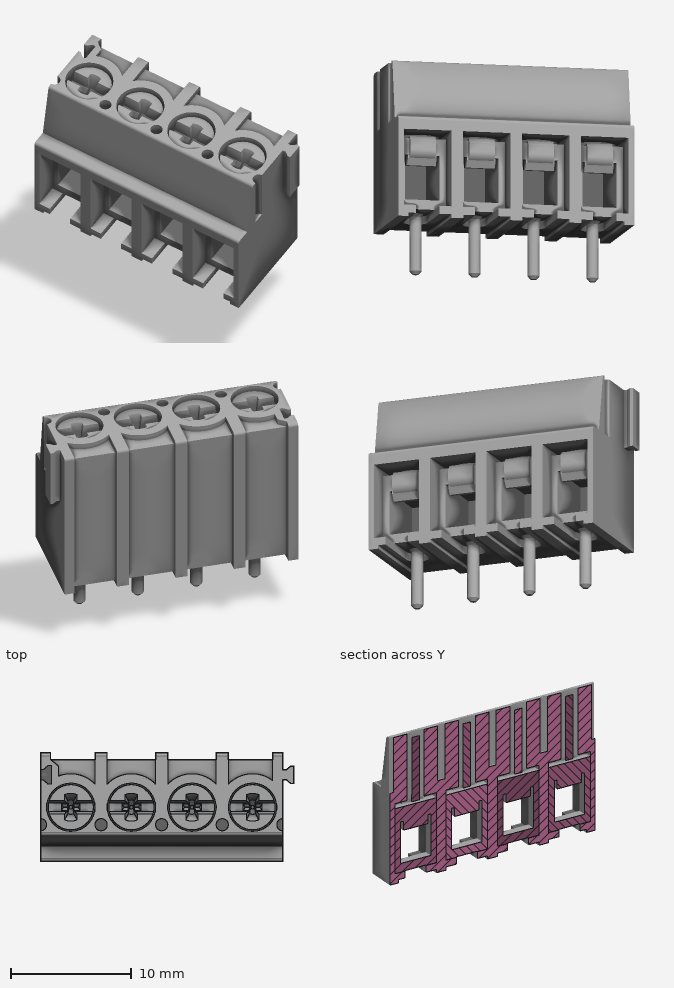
import cadquery as cq
import math

POLES = 4
OVERALL_LENGTH = 20.95
LENGTH = 20.02
DEPTH = 9.0
HEIGHT = 13.42
PITCH = LENGTH / POLES
POLE_Y = DEPTH / 2
POLE_CENTRES = [PITCH * (pole + 0.5) for pole in range(POLES)]
POLE_BORDERS = [PITCH * border for border in range(POLES + 1)]

LEDGE_Z = 8.42
LEDGE_DEPTH = 1.3
SLOPE_ANGLE = 10.0
EDGE_RADIUS = 0.27

RIB_WIDTH = 1.0
END_RIB_WIDTH = 0.84
RECESS_SETBACK = 0.57
RECESS_DEPTH = 0.5
COLLAR_RADIUS = 2.76
GROOVE_WALL_X = 1.49
GROOVE_WALL_Y = 7.9

DOVETAIL_Y = 7.18
DOVETAIL_NECK_WIDTH = 0.84
TAB_NECK_LENGTH = 0.3
TAB_FLARE_END = 0.65
TAB_WIDTH = 1.45
TAB_LENGTH = OVERALL_LENGTH - LENGTH
GROOVE_NECK_LENGTH = 0.23
GROOVE_FLARE_END = 0.63
GROOVE_WIDTH = 1.55
GROOVE_DEPTH = 0.92

SCREW_HOLE_RADIUS = 1.99
TEST_HOLE_RADIUS = 0.5
TEST_HOLE_Y = 3.05
CHAMBER_WIDTH = 4.02
CHAMBER_FLOOR_Z = 0.96
CHAMBER_TOP_Z = 7.3
CHAMBER_BACK_Y = 7.0
PIN_SLOT_WIDTH = 1.99
FOOT_HEIGHT = 0.3
FOOT_WIDTH = 1.0
END_FOOT_WIDTH = 0.85

BLOCK_FRONT_Y = 1.99
BLOCK_TOP_Z = 6.89
WIRE_OPENING_WIDTH = 2.91
WIRE_OPENING_BOTTOM_Z = 1.75
WIRE_OPENING_TOP_Z = 5.5
GUARD_WIDTH = 2.18
GUARD_FLAP_WIDTH = 2.43
GUARD_TOP_Z = 7.08
GUARD_BEVEL_Z = 6.7
GUARD_BEND_TOP_Z = 5.9
GUARD_BEND_BOTTOM_Z = 5.28
GUARD_TIP_Z = 4.7
GUARD_BEND_ANGLE = 60.0
GUARD_PROJECTION = 0.34
GUARD_FLAP_LEAN = 0.34
GUARD_THICKNESS = 0.34
PIN_RADIUS = 0.5
PIN_LENGTH = 4.08
PIN_TIP_RADIUS = 0.25
PIN_TIP_HEIGHT = 0.27
PIN_COLLAR_RADIUS = 0.67
PIN_COLLAR_HEIGHT = 0.25

HEAD_RADIUS = 1.86
HEAD_TOP_Z = 12.98
HEAD_BOTTOM_Z = 7.08
NECK_RADIUS = 1.78
SHANK_RADIUS = 1.05
SLOT_TOP_WIDTH = 1.09
SLOT_FLOOR_WIDTH = 0.67
SLOT_DEPTH = 1.0
CROSS_RADIUS = 1.15
CROSS_STEP_RADIUS = 0.59
CROSS_STEP_DEPTH = 1.21
CROSS_TIP_RADIUS = 0.15
CROSS_DEPTH = 1.55
CROSS_TOP_WIDTH = 1.03
CROSS_TIP_WIDTH = 0.34
SIDE_WING_TOP_WIDTH = 0.55
SIDE_WING_FLOOR_WIDTH = 0.05
SIDE_WING_TOP_SPAN = 1.55
SIDE_WING_FLOOR_SPAN = 1.25
SIDE_WING_DEPTH = 0.17


def box(x_range, y_range, z_range):
    """Box spanning the given (low, high) ranges."""
    (x0, x1), (y0, y1), (z0, z1) = x_range, y_range, z_range
    return cq.Workplane("XY").box(x1 - x0, y1 - y0, z1 - z0, centered=False).translate((x0, y0, z0))


def centred(middle, width):
    """(low, high) range of a width about its middle."""
    return (middle - width / 2, middle + width / 2)


def cylinder(x, y, radius, z_bottom, z_top):
    """Upright cylinder between two heights."""
    return cq.Workplane("XY", origin=(x, y, z_bottom)).circle(radius).extrude(z_top - z_bottom)


def housing_blank():
    """Stepped side profile run along the whole row, with rounded long edges."""
    slope_top_y = LEDGE_DEPTH + (HEIGHT - LEDGE_Z) * math.tan(math.radians(SLOPE_ANGLE))
    profile = [
        (0, 0),
        (DEPTH, 0),
        (DEPTH, HEIGHT),
        (slope_top_y, HEIGHT),
        (LEDGE_DEPTH, LEDGE_Z),
        (0, LEDGE_Z),
    ]
    blank = cq.Workplane("YZ").polyline(profile).close().extrude(LENGTH)
    for y, z in [(DEPTH, HEIGHT), (slope_top_y, HEIGHT), (0, LEDGE_Z)]:
        edge = cq.selectors.NearestToPointSelector((LENGTH / 2, y, z))
        blank = blank.edges("|X").edges(edge).fillet(EDGE_RADIUS)
    return blank


def dovetail(x_face, neck_length, flare_end, end, width):
    """Dovetail prism that starts at a face and widens towards +X."""
    half_neck = DOVETAIL_NECK_WIDTH / 2
    upper = [(0, half_neck), (neck_length, half_neck), (flare_end, width / 2), (end, width / 2)]
    lower = [(x, -y) for x, y in reversed(upper)]
    plane = cq.Workplane("XY", origin=(x_face, DOVETAIL_Y, LEDGE_Z))
    return plane.polyline(upper + lower).close().extrude(HEIGHT - LEDGE_Z)


def back_setback(x_range):
    """Full-height cut that leaves the ribs standing proud of the back wall."""
    return box(x_range, (DEPTH - RECESS_SETBACK, DEPTH), (0, HEIGHT))


def top_recess(pole_x, x_range):
    """Shallow cut between two ribs that stops at the rim of the screw hole."""
    z_range = (HEIGHT - RECESS_DEPTH, HEIGHT)
    pocket = box(x_range, (POLE_Y, DEPTH), z_range)
    return pocket.cut(cylinder(pole_x, POLE_Y, COLLAR_RADIUS, *z_range))


def groove_wall():
    """Part of the first recess left standing around the dovetail groove."""
    back_y = DEPTH - RECESS_SETBACK
    outline = [
        (END_RIB_WIDTH, POLE_Y),
        (GROOVE_WALL_X, POLE_Y),
        (GROOVE_WALL_X, GROOVE_WALL_Y),
        (END_RIB_WIDTH, back_y),
    ]
    plane = cq.Workplane("XY", origin=(0, 0, HEIGHT - RECESS_DEPTH))
    return plane.polyline(outline).close().extrude(RECESS_DEPTH)


def gap_between(pole, width, end_width):
    """X range left free between the ribs or feet on both sides of one pole."""
    start = end_width if pole == 0 else POLE_BORDERS[pole] + width / 2
    last = pole == POLES - 1
    stop = LENGTH - end_width if last else POLE_BORDERS[pole + 1] - width / 2
    return (start, stop)


def pin_slot(pole_x):
    """Round-ended slot through the chamber floor, open at the front."""
    floor = (0, CHAMBER_FLOOR_Z)
    slot = box(centred(pole_x, PIN_SLOT_WIDTH), (0, POLE_Y), floor)
    return slot.union(cylinder(pole_x, POLE_Y, PIN_SLOT_WIDTH / 2, *floor))


def make_housing():
    body = housing_blank()
    for pole, pole_x in enumerate(POLE_CENTRES):
        rib_gap = gap_between(pole, RIB_WIDTH, END_RIB_WIDTH)
        recess = top_recess(pole_x, rib_gap)
        if pole == 0:
            recess = recess.cut(groove_wall())
        body = body.cut(recess).cut(back_setback(rib_gap))
        body = body.cut(cylinder(pole_x, POLE_Y, SCREW_HOLE_RADIUS, CHAMBER_TOP_Z, HEIGHT))
        chamber_x = centred(pole_x, CHAMBER_WIDTH)
        body = body.cut(box(chamber_x, (0, CHAMBER_BACK_Y), (CHAMBER_FLOOR_Z, CHAMBER_TOP_Z)))
        body = body.cut(pin_slot(pole_x))
        body = body.cut(box(gap_between(pole, FOOT_WIDTH, END_FOOT_WIDTH), (0, DEPTH), (0, FOOT_HEIGHT)))
    for border_x in POLE_BORDERS:
        body = body.cut(cylinder(border_x, TEST_HOLE_Y, TEST_HOLE_RADIUS, LEDGE_Z, HEIGHT))
    body = body.cut(dovetail(0, GROOVE_NECK_LENGTH, GROOVE_FLARE_END, GROOVE_DEPTH, GROOVE_WIDTH))
    return body.union(dovetail(LENGTH, TAB_NECK_LENGTH, TAB_FLARE_END, TAB_LENGTH, TAB_WIDTH))


def wire_guard(pole_x):
    """Bent strip on the block front whose lower flap leans back into the wire opening."""
    front_y = BLOCK_FRONT_Y - GUARD_PROJECTION
    back_y = BLOCK_FRONT_Y + GUARD_THICKNESS
    bend_angle = math.radians(GUARD_BEND_ANGLE)
    bend_radius = (GUARD_BEND_TOP_Z - GUARD_BEND_BOTTOM_Z) / math.sin(bend_angle)

    def bend_point(angle):
        y = front_y + bend_radius * (1 - math.cos(angle))
        return (y, GUARD_BEND_TOP_Z - bend_radius * math.sin(angle))

    bend_end = bend_point(bend_angle)
    tip_y = bend_end[0] + GUARD_FLAP_LEAN
    strip = (
        cq.Workplane("YZ", origin=(pole_x - GUARD_WIDTH / 2, 0, 0))
        .moveTo(back_y, GUARD_TOP_Z)
        .lineTo(BLOCK_FRONT_Y, GUARD_TOP_Z)
        .lineTo(front_y, GUARD_BEVEL_Z)
        .lineTo(front_y, GUARD_BEND_TOP_Z)
        .threePointArc(bend_point(bend_angle / 2), bend_end)
        .lineTo(back_y, GUARD_BEND_BOTTOM_Z)
        .close()
        .extrude(GUARD_WIDTH)
    )
    flap_outline = [
        bend_end,
        (tip_y, GUARD_TIP_Z),
        (tip_y + GUARD_THICKNESS, GUARD_TIP_Z),
        (tip_y + GUARD_THICKNESS, WIRE_OPENING_TOP_Z),
        (bend_end[0], WIRE_OPENING_TOP_Z),
    ]
    flap_plane = cq.Workplane("YZ", origin=(pole_x - GUARD_FLAP_WIDTH / 2, 0, 0))
    flap = flap_plane.polyline(flap_outline).close().extrude(GUARD_FLAP_WIDTH)
    return strip.union(flap)


def solder_pin(pole_x):
    """Round pin with a small collar under the block and a tapered tip."""
    profile = [
        (0, -PIN_LENGTH),
        (PIN_TIP_RADIUS, -PIN_LENGTH),
        (PIN_RADIUS, -PIN_LENGTH + PIN_TIP_HEIGHT),
        (PIN_RADIUS, CHAMBER_FLOOR_Z - PIN_COLLAR_HEIGHT),
        (PIN_COLLAR_RADIUS, CHAMBER_FLOOR_Z),
        (0, CHAMBER_FLOOR_Z),
    ]
    pin = cq.Workplane("XZ").polyline(profile).close().revolve(360, (0, 0), (0, 1))
    return pin.translate((pole_x, POLE_Y, 0))


def make_terminal(pole_x):
    block_y = (BLOCK_FRONT_Y, CHAMBER_BACK_Y)
    block = box(centred(pole_x, CHAMBER_WIDTH), block_y, (CHAMBER_FLOOR_Z, BLOCK_TOP_Z))
    opening_z = (WIRE_OPENING_BOTTOM_Z, WIRE_OPENING_TOP_Z)
    block = block.cut(box(centred(pole_x, WIRE_OPENING_WIDTH), block_y, opening_z))
    block = block.cut(cylinder(pole_x, POLE_Y, SHANK_RADIUS, WIRE_OPENING_TOP_Z, BLOCK_TOP_Z))
    return block.union(wire_guard(pole_x)).union(solder_pin(pole_x))


def tapered_groove(top_width, floor_width, depth, length):
    """Groove along X below z = 0 that narrows towards its floor."""
    outline = [
        (-top_width / 2, 0),
        (top_width / 2, 0),
        (floor_width / 2, -depth),
        (-floor_width / 2, -depth),
    ]
    return cq.Workplane("YZ", origin=(-length / 2, 0, 0)).polyline(outline).close().extrude(length)


def turned(shape):
    """Quarter turn about the vertical axis, from along X to along Y."""
    return shape.rotate((0, 0, 0), (0, 0, 1), 90)


def cross_recess():
    """Cross-head recess with its mouth at z = 0: two wings across the slot, two in its floor."""
    cone_profile = [
        (0, 0),
        (CROSS_RADIUS, 0),
        (CROSS_STEP_RADIUS, -CROSS_STEP_DEPTH),
        (CROSS_TIP_RADIUS, -CROSS_DEPTH),
        (0, -CROSS_DEPTH),
    ]
    cone = cq.Workplane("XZ").polyline(cone_profile).close().revolve(360, (0, 0), (0, 1))
    across = tapered_groove(CROSS_TOP_WIDTH, CROSS_TIP_WIDTH, CROSS_DEPTH, 2 * CROSS_RADIUS)
    wings = cone.intersect(turned(across))

    along = tapered_groove(SIDE_WING_TOP_WIDTH, SIDE_WING_FLOOR_WIDTH, SIDE_WING_DEPTH, SIDE_WING_TOP_SPAN)
    ends = tapered_groove(SIDE_WING_TOP_SPAN, SIDE_WING_FLOOR_SPAN, SIDE_WING_DEPTH, SIDE_WING_TOP_WIDTH)
    side_wings = along.intersect(turned(ends)).translate((0, 0, -SLOT_DEPTH))
    return wings.union(side_wings)


def make_screw(pole_x):
    head = cylinder(pole_x, POLE_Y, HEAD_RADIUS, HEAD_BOTTOM_Z, HEAD_TOP_Z)
    neck = cylinder(pole_x, POLE_Y, NECK_RADIUS, BLOCK_TOP_Z, HEAD_BOTTOM_Z)
    shank = cylinder(pole_x, POLE_Y, SHANK_RADIUS, WIRE_OPENING_TOP_Z, BLOCK_TOP_Z)
    slot = tapered_groove(SLOT_TOP_WIDTH, SLOT_FLOOR_WIDTH, SLOT_DEPTH, 2 * HEAD_RADIUS)
    drive = slot.union(cross_recess()).translate((pole_x, POLE_Y, HEAD_TOP_Z))
    return head.union(neck).union(shank).cut(drive)


housing = make_housing().solids()
terminals = [make_terminal(pole_x).solids() for pole_x in POLE_CENTRES]
screws = [make_screw(pole_x).solids() for pole_x in POLE_CENTRES]

result = cq.Compound.makeCompound([body.val() for body in [housing, *terminals, *screws]])